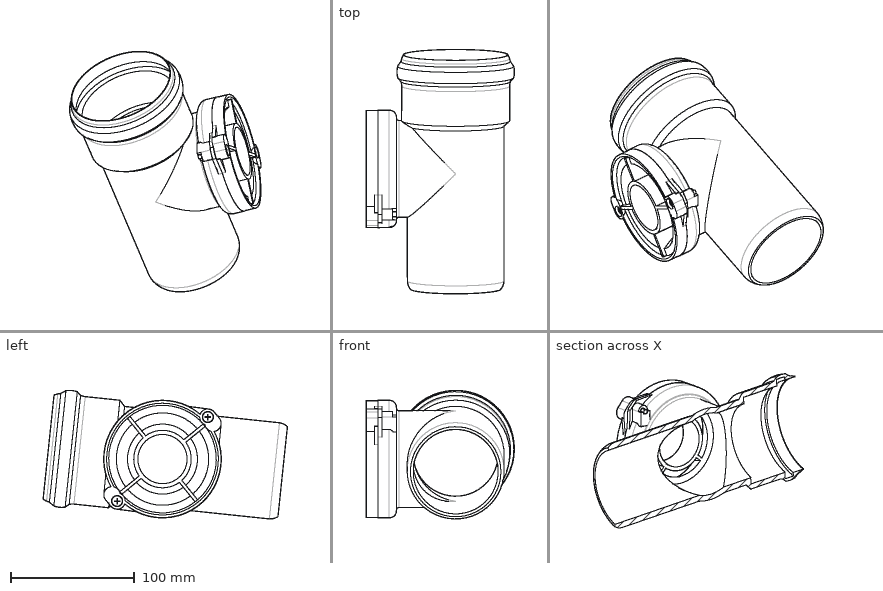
import cadquery as cq
import math

run_tilt = 6.0

pipe_radius = 78.4 / 2
bore_radius = 68.6 / 2
spigot_end = 97.8
spigot_taper_length = 6.8
spigot_taper_start = spigot_taper_length - spigot_end
spigot_taper = 2.6
spigot_end_radius = pipe_radius - spigot_taper
socket_radius = 87.6 / 2
socket_bore_radius = 78.7 / 2
socket_end = 92.7
neck_start = 34.9
neck_end = 39.2
socket_floor = neck_end + 1.0
collar_radius = 95.2 / 2
collar_bore_radius = 44.6
collar_foot = 67.4
collar_foot_end = 71.2
collar_foot_rise = 0.6
collar_start = 74.2
collar_end = 83.4
collar_bulge = 0.6
collar_slope_end = 87.3
collar_slope_end_radius = 44.3
groove_end = 82.0
lip_radius = 43.7
lip_length = 3.0
lip_rounding = 1.3
mouth_radius = 41.8

cover_face = -72.47
joint_face = -62.6
flange_back = -47.7
flange_radius = 95.2 / 2
flange_rounding = 6.0
branch_rounding = 1.8
recess_radius = 87.0 / 2
recess_floor = -51.0

cover_radius = 94.7 / 2
plug_radius = 86.7 / 2
rim_mouth_radius = 45.2
rim_depth = 3.0
funnel_front_radius = 74.7 / 2
funnel_back_radius = 56.6 / 2
tube_outer_radius = 46.5 / 2
tube_bore_radius = 39.8 / 2
spoke_width = 2.6
spoke_count = 4

screw_circle_radius = 50.0
screw_angle = 42.8
lug_angle = 39.05
lug_radius = 6.6
lug_count = 2
cover_gusset_thickness = 2.9
cover_gusset_half_angle = 24.4
flange_gusset_thickness = 3.2
flange_gusset_half_angle = 20.8
cover_gusset_top_radius = 53.2
cover_gusset_top_half_width = 9.4
flange_gusset_top_radius = 54.6
flange_gusset_top_half_width = 4.8

clearance_diameter = 4.5
counterbore_diameter = 9.0
counterbore_depth = 4.0
screw_diameter = 4.2
screw_tip_diameter = 3.5
head_diameter = 8.4
head_height = 3.2
head_dome_radius = 5.0
cross_length = 4.4
cross_width = 0.5
cross_depth = 1.0
boss_radius = 9.0 / 2
boss_end = -51.0
web_drop = 12.0
screw_tip_start = boss_end - 1.0


def facing(x):
    """Sketch plane at station x: local x is -Y, local y is Z, extrusion goes outward to -X."""
    return cq.Workplane(cq.Plane(origin=(x, 0, 0), xDir=(0, -1, 0), normal=(-1, 0, 0)))


def polar(radius, degrees):
    """Local coordinates of a point on a facing plane."""
    angle = math.radians(degrees)
    return (radius * math.cos(angle), radius * math.sin(angle))


def repeat_lugs(shape):
    """Copies of one lug feature, spread evenly around the branch axis."""
    step = 360 / lug_count
    return [shape.rotate((0, 0, 0), (1, 0, 0), i * step) for i in range(lug_count)]


def tilt(shape):
    """Swing a shape built along Y onto the axis of the run."""
    return shape.rotate((0, 0, 0), (1, 0, 0), run_tilt)


def disc(x_back, x_front, radius):
    """Solid cylinder about the branch axis between two stations."""
    return facing(x_back).circle(radius).extrude(x_back - x_front)


screw_spot = polar(screw_circle_radius, screw_angle)
lug_far_spot = polar(screw_circle_radius, 2 * lug_angle - screw_angle)


def run_outside():
    return tilt(
        cq.Workplane("XY")
        .moveTo(0, -spigot_end)
        .lineTo(spigot_end_radius, -spigot_end)
        .threePointArc((pipe_radius - spigot_taper / 4, spigot_taper_start - spigot_taper_length / 2),
                       (pipe_radius, spigot_taper_start))
        .lineTo(pipe_radius, neck_start)
        .lineTo(socket_radius, neck_end)
        .lineTo(socket_radius, collar_foot)
        .tangentArcPoint((socket_radius + collar_foot_rise, collar_foot_end), relative=False)
        .lineTo(collar_radius - collar_bulge, collar_start)
        .threePointArc((collar_radius, (collar_start + collar_end) / 2),
                       (collar_radius - collar_bulge, collar_end))
        .lineTo(collar_slope_end_radius, collar_slope_end)
        .lineTo(lip_radius, socket_end - lip_length)
        .lineTo(lip_radius - lip_rounding, socket_end)
        .lineTo(0, socket_end)
        .close()
        .revolve(360, (0, 0, 0), (0, 1, 0))
    )


def run_inside():
    return tilt(
        cq.Workplane("XY")
        .moveTo(0, -spigot_end)
        .lineTo(bore_radius, -spigot_end)
        .lineTo(bore_radius, socket_floor)
        .lineTo(socket_bore_radius, socket_floor)
        .lineTo(socket_bore_radius, collar_start)
        .lineTo(collar_bore_radius, collar_start)
        .lineTo(collar_bore_radius, groove_end)
        .lineTo(mouth_radius, groove_end)
        .lineTo(mouth_radius, socket_end)
        .lineTo(0, socket_end)
        .close()
        .revolve(360, (0, 0, 0), (0, 1, 0))
    )


def branch_outside():
    return (
        cq.Workplane("XY")
        .lineTo(joint_face, 0)
        .lineTo(joint_face, flange_radius)
        .lineTo(flange_back - flange_rounding, flange_radius)
        .radiusArc((flange_back, flange_radius - flange_rounding), flange_rounding)
        .lineTo(flange_back, pipe_radius + branch_rounding)
        .radiusArc((flange_back + branch_rounding, pipe_radius), -branch_rounding)
        .lineTo(0, pipe_radius)
        .close()
        .revolve(360, (0, 0, 0), (1, 0, 0))
    )


def gusset(x_back, thickness, centre_angle, half_angle, ring_radius, top_radius, top_half_width):
    """Flat plate that joins a lug to the ring, symmetric about centre_angle."""
    foot, half_foot = polar(ring_radius, half_angle)
    plate = facing(x_back).polyline(
        [(foot, -half_foot), (top_radius, -top_half_width),
         (top_radius, top_half_width), (foot, half_foot)]
    ).close().extrude(thickness)
    return plate.rotate((0, 0, 0), (1, 0, 0), -centre_angle)


def screw_boss():
    """Round boss on the screw axis, beside a web as wide as the boss that drops into the flange."""
    y, z = screw_spot
    boss = facing(boss_end).center(y, z).circle(boss_radius).extrude(boss_end - joint_face)
    web = (
        facing(flange_back).center(y, z - web_drop / 2).rect(2 * boss_radius, web_drop)
        .extrude(flange_back - joint_face)
    )
    return boss.union(web)


def make_housing():
    body = run_outside().union(branch_outside())
    plate = gusset(joint_face + flange_gusset_thickness, flange_gusset_thickness, screw_angle,
                   flange_gusset_half_angle, flange_radius,
                   flange_gusset_top_radius, flange_gusset_top_half_width)
    for piece in repeat_lugs(screw_boss()) + repeat_lugs(plate):
        body = body.union(piece)
    body = body.cut(run_inside()).cut(disc(0, joint_face, bore_radius))
    body = body.cut(disc(recess_floor, joint_face, recess_radius))
    hole = (
        facing(flange_back).center(*screw_spot).circle(screw_diameter / 2)
        .extrude(flange_back - joint_face)
    )
    for piece in repeat_lugs(hole):
        body = body.cut(piece)
    return body


def cover_lug(height):
    """Two round ends joined by a straight outer side."""
    ends = [facing(joint_face).center(*spot).circle(lug_radius).extrude(height)
            for spot in (screw_spot, lug_far_spot)]
    chord = 2 * screw_circle_radius * math.sin(math.radians(screw_angle - lug_angle))
    mid_radius = screw_circle_radius * math.cos(math.radians(screw_angle - lug_angle))
    middle = (
        facing(joint_face).center(mid_radius + lug_radius / 2, 0).rect(lug_radius, chord).extrude(height)
        .rotate((0, 0, 0), (1, 0, 0), -lug_angle)
    )
    return middle.union(ends[0]).union(ends[1])


def make_cover():
    height = joint_face - cover_face
    rim = disc(joint_face, cover_face, cover_radius)
    plate = gusset(joint_face, cover_gusset_thickness, lug_angle,
                   cover_gusset_half_angle, cover_radius,
                   cover_gusset_top_radius, cover_gusset_top_half_width)
    cover = rim.union(disc(recess_floor, joint_face, plug_radius))
    opening = (
        cq.Workplane("XY")
        .moveTo(cover_face, 0)
        .lineTo(cover_face, rim_mouth_radius)
        .lineTo(cover_face + rim_depth, recess_radius)
        .lineTo(cover_face + rim_depth, funnel_front_radius)
        .lineTo(recess_floor, funnel_back_radius)
        .lineTo(recess_floor, 0)
        .close()
        .revolve(360, (0, 0, 0), (1, 0, 0))
    )
    cover = cover.cut(opening)
    for piece in repeat_lugs(cover_lug(height)) + repeat_lugs(plate):
        cover = cover.union(piece)
    depth = recess_floor - cover_face
    for i in range(spoke_count):
        angle = lug_angle + i * 360 / spoke_count
        spoke = (
            facing(recess_floor).center(plug_radius / 2, 0).rect(plug_radius, spoke_width).extrude(depth)
            .rotate((0, 0, 0), (1, 0, 0), -angle)
        )
        cover = cover.union(spoke)
    cover = cover.union(disc(recess_floor, cover_face, tube_outer_radius))
    cover = cover.cut(disc(recess_floor, cover_face, tube_bore_radius))
    hole = facing(joint_face).center(*screw_spot).circle(clearance_diameter / 2).extrude(height)
    pocket = (
        facing(cover_face + counterbore_depth).center(*screw_spot)
        .circle(counterbore_diameter / 2).extrude(counterbore_depth)
    )
    for piece in repeat_lugs(hole.union(pocket)):
        cover = cover.cut(piece)
    return cover


def make_screw():
    seat = cover_face + counterbore_depth
    head = facing(seat).center(*screw_spot).circle(head_diameter / 2).extrude(head_height)
    dome_centre = (seat - head_height + head_dome_radius, -screw_spot[0], screw_spot[1])
    head = head.intersect(cq.Workplane("XY", origin=dome_centre).sphere(head_dome_radius))
    cross = facing(seat - head_height + cross_depth).center(*screw_spot)
    head = head.cut(cross.rect(cross_length, cross_width).extrude(cross_depth))
    head = head.cut(cross.rect(cross_width, cross_length).extrude(cross_depth))
    shank = (
        facing(screw_tip_start).center(*screw_spot).circle(screw_diameter / 2)
        .extrude(screw_tip_start - seat)
    )
    tip = (
        facing(flange_back).center(*screw_spot).circle(screw_tip_diameter / 2)
        .extrude(flange_back - screw_tip_start)
    )
    return head.union(shank).union(tip)


housing = make_housing()
cover = make_cover()
screws = repeat_lugs(make_screw())
bodies = [housing, cover, *screws]
result = cq.Compound.makeCompound([solid for body in bodies for solid in body.solids().vals()])